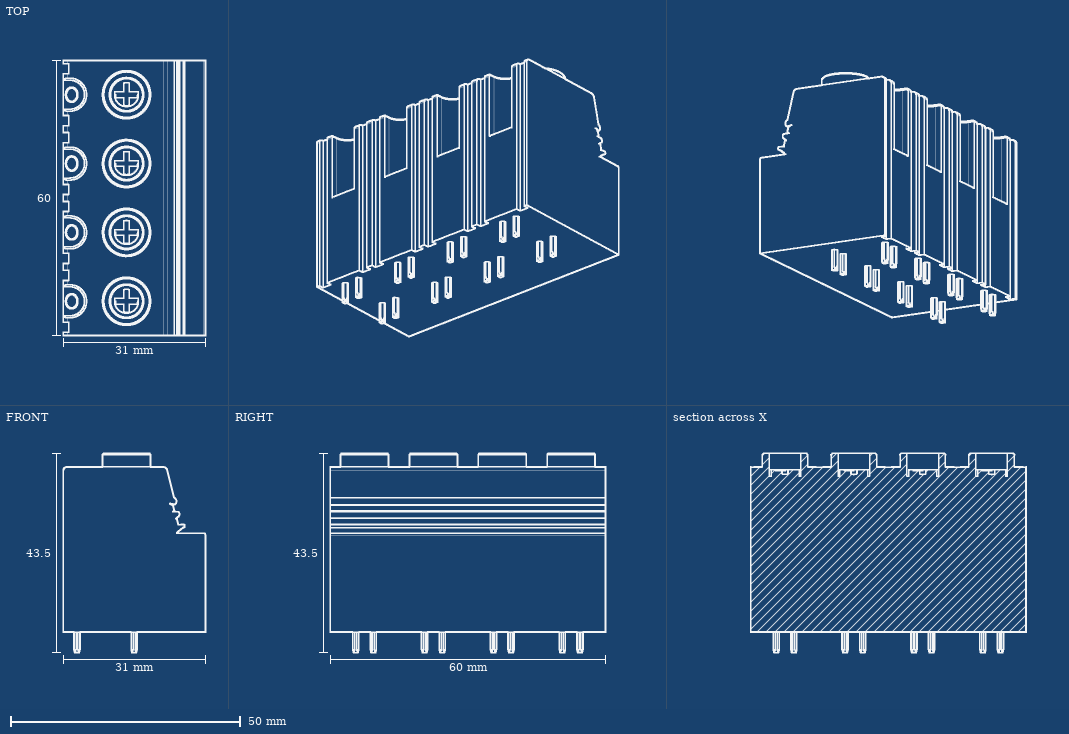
import cadquery as cq
import math


POLES = 4
PITCH = 15.0
LENGTH = POLES * PITCH
DEPTH = 31.0
HEIGHT = 36.0
STEP_HEIGHT = 21.6
STEP_ROOT_X = 24.7
SLOPE_TOP_X = 22.5
SLOPE_ANGLE = 14.0
BACK_TOP_RADIUS = 0.85
SLOPE_TOP_RADIUS = 0.9
STEP_EDGE_RADIUS = 0.45

GROOVE_WIDTH = 2.15
GROOVE_DEPTH = 1.2
GROOVE_OFFSET = 5.65

SLOT_RADIUS = 3.15
SLOT_CENTER_X = 1.5
SLOT_FLOOR_Z = 20.5
SLOT_CHAMFER = 0.45
PROBE_WIDTH_X = 2.7
PROBE_WIDTH_Y = 3.3
PROBE_CENTER_X = 1.85
PROBE_DEPTH = 0.4
PROBE_TAPER = 0.2

COLLAR_X = 13.8
COLLAR_DIAMETER = 10.5
COLLAR_HEIGHT = 3.0
COLLAR_CHAMFER = 0.3
COLLAR_TOP_Z = HEIGHT + COLLAR_HEIGHT
BORE_DIAMETER = 7.5
BORE_DEPTH = 5.0
SCREW_DIAMETER = 7.0
SCREW_RECESS = 3.6
SCREW_FACE_Z = COLLAR_TOP_Z - SCREW_RECESS
CROSS_SPAN = 5.2
CROSS_WIDTH = 1.25
CROSS_DEPTH = 2.6
RELIEF_DEPTH = 0.2

PIN_WIDTH = 1.35
PIN_FLAT = 0.4
PIN_TIP_WIDTH = 0.95
PIN_LENGTH = 4.5
PIN_TIP_LENGTH = 0.8
PIN_ROWS_X = (3.0, 15.45)
PIN_OFFSET_Y = 1.92

POLE_CENTERS = [(i - (POLES - 1) / 2) * PITCH for i in range(POLES)]


def slope_x(z):
    """X of the inclined front face at height z."""
    return SLOPE_TOP_X + (HEIGHT - z) * math.tan(math.radians(SLOPE_ANGLE))


def make_housing():
    """Side outline with three hooked lips down the inclined face, extruded along the row."""
    upper_lip_z = 29.3
    outline = (
        cq.Workplane("XZ", origin=(0, LENGTH / 2, 0))
        .moveTo(0, 0)
        .lineTo(DEPTH, 0)
        .lineTo(DEPTH, STEP_HEIGHT)
        .lineTo(STEP_ROOT_X, STEP_HEIGHT)
        .lineTo(26.1, 22.75)
        .threePointArc((26.5, 23.15), (26.2, 23.5))
        .lineTo(25.1, 23.4)
        .lineTo(24.75, 24.85)
        .lineTo(24.5, 24.7)
        .lineTo(24.9, 25.05)
        .threePointArc((25.35, 25.6), (25.1, 26.25))
        .lineTo(23.85, 26.25)
        .lineTo(24.25, 26.45)
        .lineTo(23.95, 27.6)
        .lineTo(23.2, 28.0)
        .lineTo(24.3, 27.8)
        .threePointArc((24.7, 28.55), (slope_x(upper_lip_z), upper_lip_z))
        .lineTo(SLOPE_TOP_X, HEIGHT)
        .lineTo(0, HEIGHT)
        .close()
    )
    housing = outline.extrude(LENGTH)
    housing = round_edge(housing, 0, HEIGHT, BACK_TOP_RADIUS)
    housing = round_edge(housing, SLOPE_TOP_X, HEIGHT, SLOPE_TOP_RADIUS)
    return round_edge(housing, DEPTH, STEP_HEIGHT, STEP_EDGE_RADIUS)


def round_edge(body, x, z, radius):
    """Fillet the edge that runs along the row nearest to (x, z)."""
    edge = cq.selectors.NearestToPointSelector((x, 0, z))
    return body.edges("|Y").edges(edge).fillet(radius)


def make_grooves(y):
    """Pair of full-height grooves beside a pole."""
    centers = [(GROOVE_DEPTH / 2, y + side * GROOVE_OFFSET) for side in (-1, 1)]
    return cq.Workplane("XY").pushPoints(centers).rect(GROOVE_DEPTH, GROOVE_WIDTH).extrude(HEIGHT)


def u_shape(y, z, radius):
    """U-shaped outline at height z, its open end on the X = 0 face."""
    return (
        cq.Workplane("XY", origin=(0, y, z))
        .moveTo(0, -radius)
        .lineTo(SLOT_CENTER_X, -radius)
        .threePointArc((SLOT_CENTER_X + radius, 0), (SLOT_CENTER_X, radius))
        .lineTo(0, radius)
        .close()
    )


def make_test_slot(y):
    """U-shaped slot with a chamfered mouth and a shallow tapered oval recess in its floor."""
    slot = u_shape(y, SLOT_FLOOR_Z, SLOT_RADIUS).extrude(HEIGHT - SLOT_FLOOR_Z)
    mouth_radius = SLOT_RADIUS + SLOT_CHAMFER
    mouth = (
        cq.Workplane("XY", origin=(SLOT_CENTER_X, y, HEIGHT - SLOT_CHAMFER))
        .circle(SLOT_RADIUS)
        .workplane(offset=SLOT_CHAMFER)
        .circle(mouth_radius)
        .loft()
    )
    mouth_sides = (
        cq.Workplane("YZ")
        .moveTo(y - SLOT_RADIUS, HEIGHT - SLOT_CHAMFER)
        .lineTo(y + SLOT_RADIUS, HEIGHT - SLOT_CHAMFER)
        .lineTo(y + mouth_radius, HEIGHT)
        .lineTo(y - mouth_radius, HEIGHT)
        .close()
        .extrude(SLOT_CENTER_X)
    )
    recess = (
        cq.Workplane("XY", origin=(PROBE_CENTER_X, y, SLOT_FLOOR_Z))
        .ellipse(PROBE_WIDTH_X / 2, PROBE_WIDTH_Y / 2)
        .workplane(offset=-PROBE_DEPTH)
        .ellipse(PROBE_WIDTH_X / 2 - PROBE_TAPER, PROBE_WIDTH_Y / 2 - PROBE_TAPER)
        .loft()
    )
    return slot.union(mouth).union(mouth_sides).union(recess)


def make_collar(y):
    """Raised round collar around a screw opening."""
    base = cq.Workplane("XY", origin=(COLLAR_X, y, HEIGHT))
    collar = base.circle(COLLAR_DIAMETER / 2).extrude(COLLAR_HEIGHT)
    return collar.faces(">Z").edges().chamfer(COLLAR_CHAMFER)


def make_screw_opening(y):
    """Space around and inside a screw head: a bore, the gap round the head and its cross recess."""
    top = cq.Workplane("XY", origin=(COLLAR_X, y, COLLAR_TOP_Z))
    bore = top.circle(BORE_DIAMETER / 2).extrude(-BORE_DEPTH)
    face = cq.Workplane("XY", origin=(COLLAR_X, y, SCREW_FACE_Z))
    screw_head = face.circle(SCREW_DIAMETER / 2).extrude(SCREW_RECESS - BORE_DEPTH)
    cross = (
        face.rect(CROSS_SPAN, CROSS_WIDTH)
        .extrude(-CROSS_DEPTH)
        .union(face.rect(CROSS_WIDTH, CROSS_SPAN).extrude(-CROSS_DEPTH))
    )
    cone = cq.Solid.makeCone(
        CROSS_SPAN / 2,
        0,
        CROSS_DEPTH,
        pnt=cq.Vector(COLLAR_X, y, SCREW_FACE_Z),
        dir=cq.Vector(0, 0, -1),
    )
    relief = (
        face.moveTo(-CROSS_SPAN / 2, 0)
        .threePointArc((0, -CROSS_SPAN / 2), (CROSS_SPAN / 2, 0))
        .close()
        .extrude(-RELIEF_DEPTH)
    )
    return bore.cut(screw_head).union(cross.intersect(cq.Workplane(cone))).union(relief)


def make_pin(x, y):
    """Square pin with large corner bevels and a four-sided tapered tip."""
    bevel = (PIN_WIDTH - PIN_FLAT) / 2
    base = cq.Workplane("XY", origin=(x, y, 0))
    shank = base.rect(PIN_WIDTH, PIN_WIDTH).extrude(-PIN_LENGTH).edges("|Z").chamfer(bevel)
    straight_length = PIN_LENGTH - PIN_TIP_LENGTH
    straight = base.rect(PIN_WIDTH, PIN_WIDTH).extrude(-straight_length)
    tip = (
        base.workplane(offset=-straight_length)
        .rect(PIN_WIDTH, PIN_WIDTH)
        .workplane(offset=-PIN_TIP_LENGTH)
        .rect(PIN_TIP_WIDTH, PIN_TIP_WIDTH)
        .loft()
    )
    return shank.intersect(straight.union(tip))


block = make_housing()
for pole_y in POLE_CENTERS:
    block = block.union(make_collar(pole_y))
    block = block.cut(make_grooves(pole_y))
    block = block.cut(make_test_slot(pole_y))
    block = block.cut(make_screw_opening(pole_y))
    for pin_x in PIN_ROWS_X:
        for pin_side in (-1, 1):
            block = block.union(make_pin(pin_x, pole_y + pin_side * PIN_OFFSET_Y))

result = block